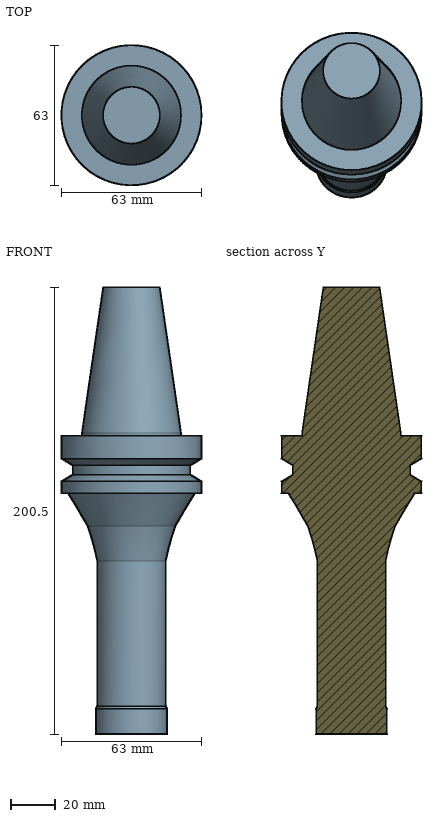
import cadquery as cq

total_length = 200.5
taper_length = 65.3
taper_collar_height = 1.2
flange_thickness = 25.9
nose_band_height = 11.5
nose_chamfer_height = 1.2
shank_top_z = 77.8
neck_break_z = 93.4

taper_large_dia = 44.5
taper_ratio = 7 / 24
flange_dia = 63.0
groove_dia = 53.0
neck_top_dia = 57.0
neck_break_dia = 39.5
shank_dia = 30.9
nose_dia = 32.0

groove_center_z = 118.5
groove_floor_width = 4.2
groove_wall_height = 3.0

upper_neck_bow = 0.1
lower_neck_bow = 0.3

gauge_z = total_length - taper_length
flange_top_z = gauge_z - taper_collar_height
flange_bottom_z = flange_top_z - flange_thickness
taper_small_dia = taper_large_dia - taper_ratio * taper_length
groove_floor_half = groove_floor_width / 2
groove_mouth_half = groove_floor_half + groove_wall_height

shank_top = (shank_dia / 2, shank_top_z)
neck_break = (neck_break_dia / 2, neck_break_z)
neck_top = (neck_top_dia / 2, flange_bottom_z)


def bowed_midpoint(start, end, bow):
    """Point midway between two profile points, moved toward the axis."""
    return ((start[0] + end[0]) / 2 - bow, (start[1] + end[1]) / 2)


profile = (
    cq.Workplane("XZ")
    .moveTo(0, 0)
    .lineTo(nose_dia / 2, 0)
    .lineTo(nose_dia / 2, nose_band_height)
    .lineTo(shank_dia / 2, nose_band_height + nose_chamfer_height)
    .lineTo(*shank_top)
    .threePointArc(bowed_midpoint(shank_top, neck_break, lower_neck_bow), neck_break)
    .threePointArc(bowed_midpoint(neck_break, neck_top, upper_neck_bow), neck_top)
    .lineTo(flange_dia / 2, flange_bottom_z)
    .lineTo(flange_dia / 2, groove_center_z - groove_mouth_half)
    .lineTo(groove_dia / 2, groove_center_z - groove_floor_half)
    .lineTo(groove_dia / 2, groove_center_z + groove_floor_half)
    .lineTo(flange_dia / 2, groove_center_z + groove_mouth_half)
    .lineTo(flange_dia / 2, flange_top_z)
    .lineTo(taper_large_dia / 2, flange_top_z)
    .lineTo(taper_large_dia / 2, gauge_z)
    .lineTo(taper_small_dia / 2, total_length)
    .lineTo(0, total_length)
    .close()
)

result = profile.revolve(360, (0, 0, 0), (0, 1, 0))